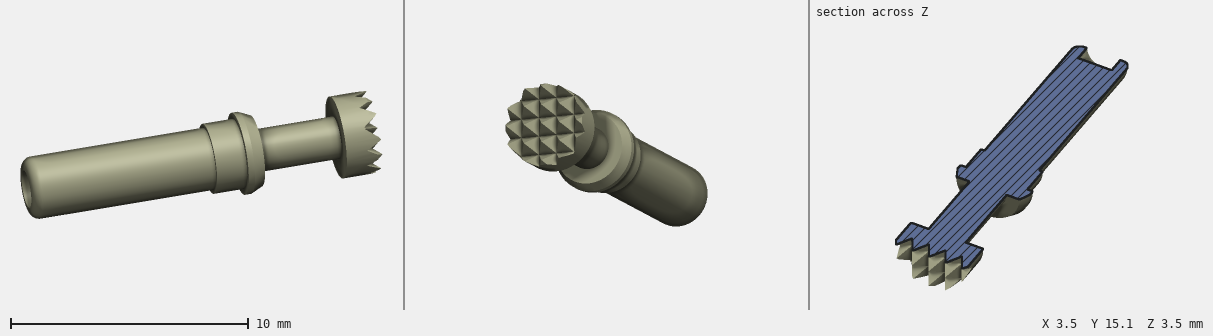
import cadquery as cq
import math

total_length = 15.1
head_length = 1.6
stem_length = 3.5
collar_cone_length = 0.5
collar_rim_length = 0.27
sleeve_length = 1.31

head_base = total_length - head_length
collar_top = head_base - stem_length
rim_top = collar_top - collar_cone_length
rim_base = rim_top - collar_rim_length
sleeve_base = rim_base - sleeve_length

head_radius = 1.75
stem_radius = 0.9
collar_radius = head_radius
collar_top_radius = 1.53
sleeve_radius = 1.5
barrel_radius = 1.33
end_rounding = 0.4
bore_radius = 0.8
bore_depth = 0.75

tooth_pitch = 0.8
groove_angle = 60.0
grooves_per_side = 3
groove_half_width = tooth_pitch / 2
groove_depth = groove_half_width / math.tan(math.radians(groove_angle / 2))


def make_body():
    """Revolve the half outline (radius, Y) about the Y axis."""
    rounding_offset = end_rounding * math.sqrt(0.5)
    rounding_center_radius = barrel_radius - end_rounding
    return (
        cq.Workplane("XY")
        .lineTo(rounding_center_radius, 0)
        .threePointArc(
            (rounding_center_radius + rounding_offset, end_rounding - rounding_offset),
            (barrel_radius, end_rounding),
        )
        .lineTo(barrel_radius, sleeve_base)
        .lineTo(sleeve_radius, sleeve_base)
        .lineTo(sleeve_radius, rim_base)
        .lineTo(collar_radius, rim_base)
        .lineTo(collar_radius, rim_top)
        .lineTo(collar_top_radius, collar_top)
        .lineTo(stem_radius, collar_top)
        .lineTo(stem_radius, head_base)
        .lineTo(head_radius, head_base)
        .lineTo(head_radius, total_length)
        .lineTo(0, total_length)
        .close()
        .revolve(360, (0, 0, 0), (0, 1, 0))
    )


def make_bore():
    """Flat-bottomed hole in the barrel end."""
    return cq.Workplane("XZ").circle(bore_radius).extrude(-bore_depth)


def make_groove(position):
    """V groove along Z, centred at X = position, cut down from the tooth tips."""
    return (
        cq.Workplane("XY")
        .moveTo(position - groove_half_width, total_length)
        .lineTo(position, total_length - groove_depth)
        .lineTo(position + groove_half_width, total_length)
        .close()
        .extrude(2 * head_radius, both=True)
    )


def cut_teeth(body):
    """Cut crossing rows of V grooves, leaving sharp pyramids between them."""
    for index in range(-grooves_per_side, grooves_per_side):
        groove = make_groove((index + 0.5) * tooth_pitch)
        crossing_groove = groove.rotate((0, 0, 0), (0, 1, 0), 90)
        body = body.cut(groove).cut(crossing_groove)
    return body


result = cut_teeth(make_body().cut(make_bore()))